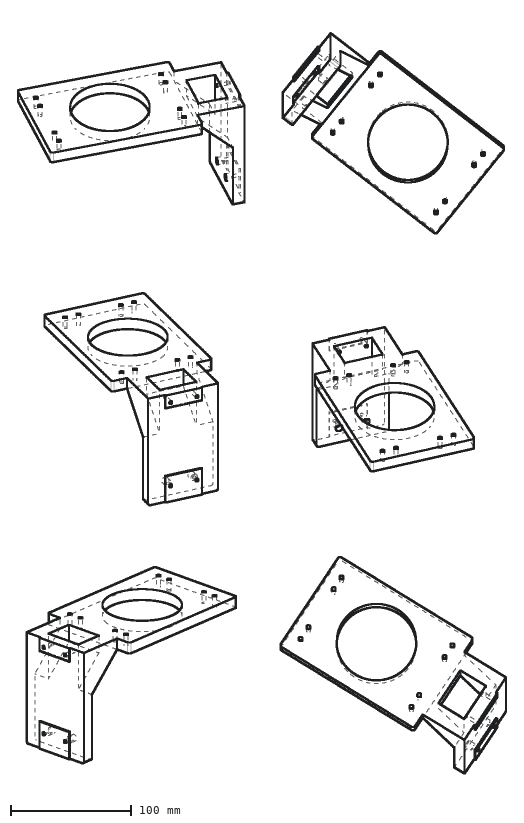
import cadquery as cq

total_length = 174.0
total_height = 100.0

plate_width = 92.0
plate_length = 131.9
plate_thickness = 10.0
plate_corner_radius = 2.1
plate_back = -(total_length - plate_length)
plate_center_y = (plate_back - total_length) / 2
opening_diameter = 66.0
plate_hole_diameter = 3.3
plate_hole_xs = (19.5, 31.5)
plate_hole_offset_y = 54.5

arm_width = 64.2
wall_thickness = 10.1
wall_corner_radius = 2.1

pad_thickness = 1.2
pad_width = 33.5
upper_pad_height = 12.0
lower_pad_height = 24.5

window_width = pad_width
window_length = 25.0

screw_x = 12.0
screw_diameter = 2.6
upper_screw_z = -7.5
lower_screw_z = -85.5
counterbore_diameter = 6.0
counterbore_depth = 6.0

wall_back = -pad_thickness
wall_front = wall_back - wall_thickness
gusset_rise = wall_front - plate_back


def make_plate():
    return (
        cq.Workplane("XY")
        .center(0, plate_center_y)
        .rect(plate_width, plate_length)
        .extrude(-plate_thickness)
        .edges("|Z")
        .fillet(plate_corner_radius)
    )


def make_bracket():
    profile = [
        (wall_back, 0),
        (plate_back, 0),
        (plate_back, -plate_thickness),
        (wall_front, -plate_thickness - gusset_rise),
        (wall_front, -total_height),
        (wall_back, -total_height),
    ]
    return (
        cq.Workplane("YZ")
        .polyline(profile)
        .close()
        .extrude(arm_width / 2, both=True)
        .faces("<Z")
        .edges("|Y")
        .fillet(wall_corner_radius)
    )


def make_pad(top_z, height):
    return (
        cq.Workplane("XY")
        .box(pad_width, pad_thickness, height, centered=(True, False, False))
        .translate((0, wall_back, top_z - height))
    )


def make_window():
    return (
        cq.Workplane("XY")
        .center(0, wall_front - window_length / 2)
        .rect(window_width, window_length)
        .extrude(-total_height)
    )


def make_wall_bores(z, diameter, start_y, depth):
    """Pair of bores along Y that run from start_y toward the front."""
    return (
        cq.Workplane("XZ", origin=(0, start_y, z))
        .pushPoints([(-screw_x, 0), (screw_x, 0)])
        .circle(diameter / 2)
        .extrude(depth)
    )


def make_plate_holes():
    points = [
        (side * x, end * plate_hole_offset_y)
        for side in (-1, 1)
        for end in (-1, 1)
        for x in plate_hole_xs
    ]
    return (
        cq.Workplane("XY", origin=(0, plate_center_y, 0))
        .pushPoints(points)
        .circle(plate_hole_diameter / 2)
        .extrude(-plate_thickness)
    )


def make_opening():
    return (
        cq.Workplane("XY", origin=(0, plate_center_y, 0))
        .circle(opening_diameter / 2)
        .extrude(-plate_thickness)
    )


upper_pad = make_pad(0, upper_pad_height)
lower_pad = make_pad(lower_pad_height - total_height, lower_pad_height)
body = make_bracket().union(make_plate()).union(upper_pad).union(lower_pad)

body = body.cut(make_window()).cut(make_opening()).cut(make_plate_holes())
for screw_z in (upper_screw_z, lower_screw_z):
    body = body.cut(make_wall_bores(screw_z, screw_diameter, 0, -wall_front))
counterbores = make_wall_bores(
    lower_screw_z, counterbore_diameter, wall_front + counterbore_depth, counterbore_depth
)

result = body.cut(counterbores)